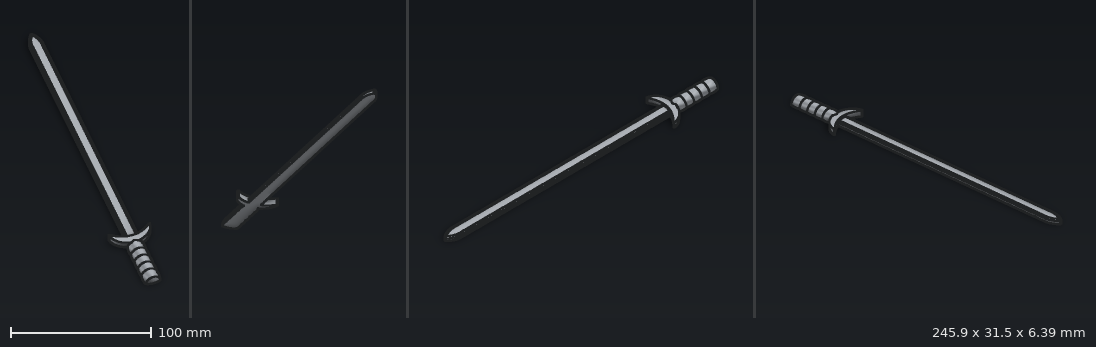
import cadquery as cq
import math

overall_length = 245.85
guard_span = 31.46

blade_half_width = 4.85
blade_thickness = 3.7
bevel_width = 1.5
bevel_height = 0.9
sharp_point_x = -0.9
tip_length = 13.5
tip_mid_x = 4.2
tip_mid_half_width = 3.45

guard_height = 5.2
guard_half_span = guard_span / 2
guard_tip_x = 196.5
guard_tip_width = 0.9
guard_inner_x = 202.4
guard_inner_mid_x = 200.6
guard_inner_mid_y = 8.2
guard_outer_x = 208.7
guard_outer_mid_x = 205.3
guard_outer_mid_y = 10.4
horn_end_slope = 0.15

blade_end_x = (guard_inner_x + guard_outer_x) / 2

grip_radius = 6.38
groove_depth = 0.45
groove_radius = grip_radius - groove_depth
first_groove_x = 215.7
groove_pitch = 7.0
groove_count = 4
grip_start_x = 205.8
grip_start_radius = 4.32
first_ring_crown_x = 212.4
end_edge_x = 244.6
end_edge_radius = 5.6
end_dome_setback = 0.3


def blade_outline(base_height):
    """Blade outline with a sharp point, drawn at the given height."""
    return (
        cq.Workplane("XY", origin=(0, 0, base_height))
        .moveTo(sharp_point_x, 0)
        .threePointArc((tip_mid_x, -tip_mid_half_width), (tip_length, -blade_half_width))
        .lineTo(blade_end_x, -blade_half_width)
        .lineTo(blade_end_x, blade_half_width)
        .lineTo(tip_length, blade_half_width)
        .threePointArc((tip_mid_x, tip_mid_half_width), (sharp_point_x, 0))
        .close()
    )


def make_blade():
    """Straight blade with bevelled long edges and a rounded point that is cut off square at x = 0."""
    wall_height = blade_thickness - bevel_height
    bevel_angle = math.degrees(math.atan2(bevel_width, bevel_height))
    lower = blade_outline(0).extrude(wall_height)
    bevelled = blade_outline(wall_height).extrude(bevel_height, taper=bevel_angle)
    kept_length = cq.Workplane("XY").box(
        blade_end_x,
        2 * blade_half_width,
        blade_thickness,
        centered=(False, True, False),
    )
    return lower.union(bevelled).intersect(kept_length)


def make_guard():
    """Crescent crossguard with its horns pointing towards the blade tip."""
    half_guard = (
        cq.Workplane("XY")
        .moveTo(guard_inner_x, 0)
        .lineTo(guard_outer_x, 0)
        .spline(
            [(guard_outer_mid_x, guard_outer_mid_y), (guard_tip_x, guard_half_span)],
            tangents=[(0, 1), (-1, horn_end_slope)],
            includeCurrent=True,
        )
        .lineTo(guard_tip_x, guard_half_span - guard_tip_width)
        .threePointArc((guard_inner_mid_x, guard_inner_mid_y), (guard_inner_x, 0))
        .close()
        .extrude(guard_height)
    )
    return half_guard.union(half_guard.mirror("XZ"))


def make_handle():
    """Ringed grip, revolved half a turn about the X axis so that it lies flat on z = 0."""
    profile = (
        cq.Workplane("XY")
        .moveTo(grip_start_x, 0)
        .lineTo(grip_start_x, grip_start_radius)
        .threePointArc((first_ring_crown_x, grip_radius), (first_groove_x, groove_radius))
    )
    for ring in range(1, groove_count):
        ring_end_x = first_groove_x + ring * groove_pitch
        crown_x = ring_end_x - groove_pitch / 2
        profile = profile.threePointArc((crown_x, grip_radius), (ring_end_x, groove_radius))
    last_groove_x = first_groove_x + (groove_count - 1) * groove_pitch
    last_crown_x = (last_groove_x + end_edge_x) / 2
    profile = (
        profile.threePointArc((last_crown_x, grip_radius), (end_edge_x, end_edge_radius))
        .threePointArc((overall_length - end_dome_setback, end_edge_radius / 2), (overall_length, 0))
        .close()
    )
    return profile.revolve(180, (0, 0, 0), (1, 0, 0))


result = make_blade().union(make_guard()).union(make_handle())